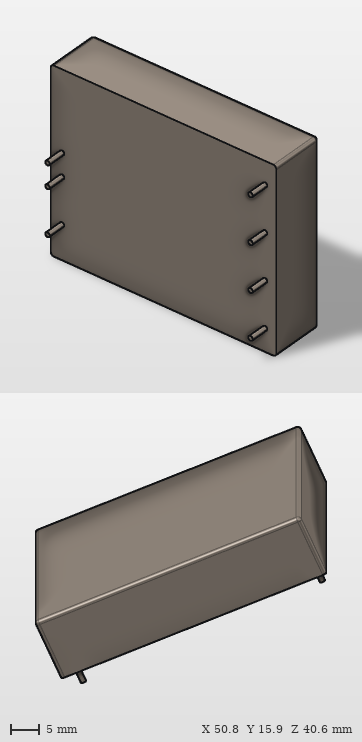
import cadquery as cq

case_width = 50.8
case_height = 40.6
case_depth = 11.85
edge_radius = 0.7

pitch = 2.55
pin_diameter = 1.0
pin_length = 4.05
pin_column_x = 9 * pitch
left_pin_rows = (1, -1, -5)
right_pin_rows = (6, 2, -2, -6)


def make_case():
    """Block with its four corners and back rim rounded and its front rim sharp."""
    block = cq.Workplane("XY").box(case_width, case_depth, case_height)
    block = block.translate((0, case_depth / 2, 0))
    return block.edges("|Y or >Y").fillet(edge_radius)


def make_pins(x, rows):
    """Column of pins at the given X, with heights counted in grid pitches."""
    centers = [(x, row * pitch) for row in rows]
    return cq.Workplane("XZ").pushPoints(centers).circle(pin_diameter / 2).extrude(pin_length)


result = (
    make_case()
    .union(make_pins(-pin_column_x, left_pin_rows))
    .union(make_pins(pin_column_x, right_pin_rows))
)